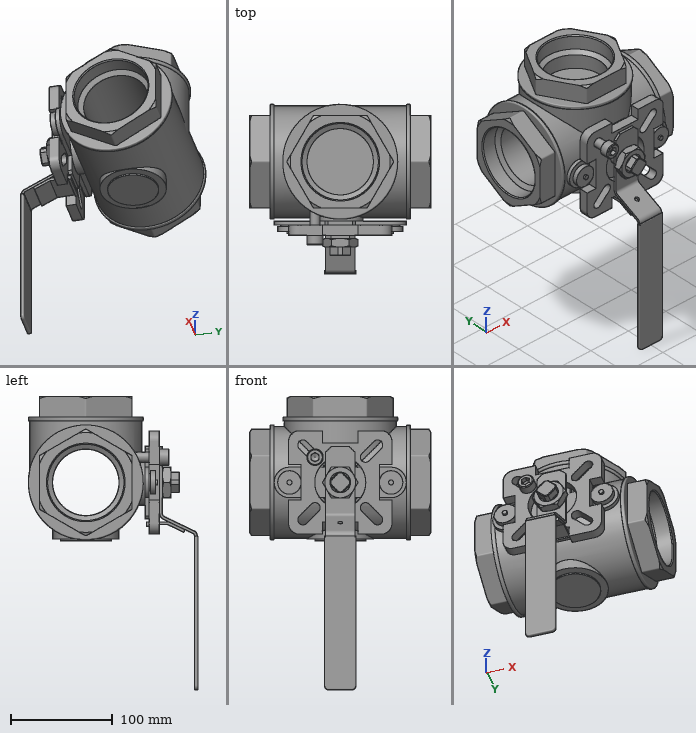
import cadquery as cq
import math


shell_dia = 110.0
flange_dia = 113.0
flange_thickness = 4.0
flange_round = 1.2
run_reach = 89.0
branch_reach = 84.5
hex_length = 20.2
hex_flats = 91.0
hex_edge_round = 2.0
hex_chamfer_dia = 98.0
hex_chamfer_angle = 30
thread_dia = 75.0
thread_lead_in = 1.2
thread_depth = 16.5
seat_depth = 20.0
bore_dia = 65.0
branch_bore_depth = 36.0

base_dia = bore_dia
base_reach = 55.5
badge_dia = 50.0
badge_thickness = 1.7

neck_dia = 45.0
cross_back = 58.2
cross_thickness = 4.0
cross_width = 30.0
cross_half_height = 35.7
cross_chamfer = 3.0
button_spacing = 99.6
button_dia = 23.0
button_height = 6.3
button_neck_dia = 17.3
button_neck_height = 1.2
tip_dia = 5.0
tip_height = 2.0

pad_back = cross_back + cross_thickness
pad_thickness = 10.0
pad_front = pad_back + pad_thickness
pad_size = 101.5
pad_corner_radius = 10.5
pad_hole_dia = badge_dia
notch_width = 34.8
notch_floor = 38.5
slot_width = 10.0
slot_inner = 24.8
slot_outer = 36.5

stem_dia = 20.2
stem_flats = 17.0
stem_chamfer = 1.0
stem_drive_length = 8.4

handle_thickness = 3.0
handle_front = pad_front + handle_thickness
handle_width = 29.5
handle_top = 35.0
handle_top_chamfer = 5.8
bend_drop = 25.7
upper_bend_z = -32.5
grip_back = 106.5
upper_bend_radius = 3.7
lower_bend_radius = 2.5
grip_width = 31.0
grip_thickness = 3.7
grip_top = -52.7
grip_bottom = -203.5
grip_corner_radius = 4.3
grip_edge_round = 1.2
rivet_hole_dia = 5.0
rivet_hole_z = -39.5

lock_width = 28.8
lock_thickness = 3.0
lock_top = -38.5
lock_tip_front = 97.3
lip_back = 59.3
lip_bottom = -43.2
lip_round = 1.2

nut_flats = 30.2
nut_height = 8.5
nut_front = handle_front + nut_height
stem_front = nut_front + stem_drive_length

screw_dia = slot_width
screw_end = 43.2
head_dia = 16.0
head_height = 9.5
head_chamfer = 1.0
socket_flats = 8.0
socket_depth = 5.0
socket_tip_depth = 2.3
socket_tip_dia = 0.3



def corner_dia(flats):
    """Diameter across the corners of a hexagon."""
    return flats / math.cos(math.radians(30))


def front_plane(distance):
    """Sketch plane facing the front: local x is X, local y is Z."""
    return cq.Workplane("XZ", origin=(0, -distance, 0))


def side_profile(points, width):
    """Extrude an outline of (front, z) points symmetrically along X."""
    outline = [(-front, z) for front, z in points]
    return cq.Workplane("YZ").polyline(outline).close().extrude(width / 2, both=True)


def nearest_to(front, z):
    """Selector for the edge nearest to a point on the middle plane."""
    return cq.selectors.NearestToPointSelector((0, -front, z))


def front_rod(dia, start, end):
    return front_plane(start).circle(dia / 2).extrude(end - start)


def chamfer_cone(face_dia, length, outer_dia):
    """Round bar whose far end is coned down to face_dia, for trimming hexagon corners."""
    outer = outer_dia / 2
    drop = (outer - face_dia / 2) * math.tan(math.radians(hex_chamfer_angle))
    profile = [(0, 0), (outer, 0), (outer, length - drop), (face_dia / 2, length), (0, length)]
    return cq.Workplane("XZ").polyline(profile).close().revolve(360, (0, 0, 0), (0, 1, 0))


def port(reach):
    """Outer shape of one port along +Z: shell, flange and hexagon."""
    flange_top = reach - hex_length
    shell = cq.Workplane("XY").circle(shell_dia / 2).extrude(flange_top)
    flange = (
        cq.Workplane("XY", origin=(0, 0, flange_top - flange_thickness))
        .circle(flange_dia / 2)
        .extrude(flange_thickness)
        .edges()
        .fillet(flange_round)
    )
    hexagon = (
        cq.Workplane("XY")
        .polygon(6, corner_dia(hex_flats))
        .extrude(reach)
        .edges("|Z")
        .fillet(hex_edge_round)
        .intersect(chamfer_cone(hex_chamfer_dia, reach, flange_dia))
    )
    return shell.union(flange).union(hexagon)


def port_bore(reach, depth):
    """Threaded mouth, conical seat and bore of one port along +Z, to the given depth."""
    thread = thread_dia / 2
    bore = bore_dia / 2
    profile = [
        (0, reach),
        (thread + thread_lead_in, reach),
        (thread, reach - thread_lead_in),
        (thread, reach - thread_depth),
        (bore, reach - seat_depth),
        (bore, reach - depth),
        (0, reach - depth),
    ]
    return cq.Workplane("XZ").polyline(profile).close().revolve(360, (0, 0, 0), (0, 1, 0))


def along_run(shape, side):
    """Turn a shape built along +Z so it lies along +X (side 1) or -X (side -1)."""
    return shape.rotate((0, 0, 0), (0, 1, 0), 90 * side)


def base_boss():
    boss = cq.Workplane("XY").circle(base_dia / 2).extrude(-base_reach)
    badge = cq.Workplane("XY").circle(badge_dia / 2).extrude(-base_reach - badge_thickness)
    return boss.union(badge)


def cross_plate():
    """Thin cross: a round-ended arm along X with a button at each end, and an upright arm."""
    arm = front_plane(cross_back).slot2D(button_spacing + cross_width, cross_width)
    arm = arm.extrude(cross_thickness)
    upright = (
        front_plane(cross_back)
        .rect(cross_width, 2 * cross_half_height)
        .extrude(cross_thickness)
        .edges("|Y")
        .chamfer(cross_chamfer)
    )
    cross = arm.union(upright)
    button = (
        front_rod(button_neck_dia, pad_back, pad_back + button_height)
        .union(front_rod(button_dia, pad_back + button_neck_height, pad_back + button_height))
        .union(front_rod(tip_dia, pad_back, pad_back + button_height + tip_height))
    )
    for side in (1, -1):
        cross = cross.union(button.translate((side * button_spacing / 2, 0, 0)))
    return cross


def mounting_pad():
    """Square pad with an open notch in each side and a diagonal slot in each corner."""
    pad = (
        front_plane(pad_back)
        .rect(pad_size, pad_size)
        .extrude(pad_thickness)
        .edges("|Y")
        .fillet(pad_corner_radius)
        .cut(front_rod(pad_hole_dia, pad_back, pad_front))
    )
    slot_middle = (slot_inner + slot_outer) / math.sqrt(2)
    slot_length = (slot_outer - slot_inner) * math.sqrt(2) + slot_width
    notch = (
        front_plane(pad_back)
        .center(pad_size / 2 + notch_floor, 0)
        .rect(pad_size, notch_width)
        .extrude(pad_thickness)
    )
    slot = (
        front_plane(pad_back)
        .center(slot_middle, 0)
        .slot2D(slot_length, slot_width)
        .extrude(pad_thickness)
    )
    for quarter in range(4):
        pad = pad.cut(notch.rotate((0, 0, 0), (0, 1, 0), 90 * quarter))
        pad = pad.cut(slot.rotate((0, 0, 0), (0, 1, 0), 90 * quarter + 45))
    return pad


def stem():
    """Round stem with a square drive at its front end, one corner of the square up."""
    rod = front_rod(stem_dia, 0, stem_front).faces("<Y").chamfer(stem_chamfer)
    drive = (
        front_plane(nut_front)
        .transformed(rotate=(0, 0, 45))
        .rect(stem_flats, stem_flats)
        .extrude(stem_front - nut_front)
        .faces("<Y")
        .chamfer(stem_chamfer)
    )
    return rod.intersect(front_rod(stem_dia, 0, nut_front).union(drive))


def make_valve_body():
    body = port(branch_reach)
    for side in (1, -1):
        body = body.union(along_run(port(run_reach), side))
    body = body.union(base_boss())
    body = body.union(front_rod(neck_dia, 0, cross_back))
    body = body.union(cross_plate()).union(mounting_pad())
    body = body.union(stem())
    body = body.cut(port_bore(branch_reach, branch_bore_depth))
    for side in (1, -1):
        body = body.cut(along_run(port_bore(run_reach, run_reach), side))
    return body.cut(front_rod(screw_dia, screw_end, pad_front).translate((-slot_inner, 0, slot_inner)))


def make_handle():
    """Cranked flat strip with a thicker rounded grip."""
    slope = math.tan(math.radians(bend_drop))
    strip_front = grip_back + handle_thickness
    lower_bend_z = upper_bend_z - (strip_front - handle_front) * slope
    bend_shift = handle_thickness * math.tan(math.radians((90 - bend_drop) / 2))
    strip = side_profile(
        [
            (handle_front, handle_top),
            (handle_front, upper_bend_z),
            (strip_front, lower_bend_z),
            (strip_front, grip_top),
            (grip_back, grip_top),
            (grip_back, lower_bend_z - bend_shift),
            (pad_front, upper_bend_z - bend_shift),
            (pad_front, handle_top),
        ],
        handle_width,
    )
    bends = [
        (handle_front, upper_bend_z, upper_bend_radius),
        (pad_front, upper_bend_z - bend_shift, upper_bend_radius + handle_thickness),
        (strip_front, lower_bend_z, lower_bend_radius + handle_thickness),
        (grip_back, lower_bend_z - bend_shift, lower_bend_radius),
    ]
    for front, z, radius in bends:
        strip = strip.edges(nearest_to(front, z)).fillet(radius)
    strip = strip.faces(">Z").edges("|Y").chamfer(handle_top_chamfer)

    grip = (
        front_plane(grip_back)
        .center(0, (grip_top + grip_bottom) / 2)
        .rect(grip_width, grip_top - grip_bottom)
        .extrude(grip_thickness)
        .edges("|Y and <Z")
        .fillet(grip_corner_radius)
        .faces("<Y or >Y")
        .edges()
        .fillet(grip_edge_round)
    )
    rivet_front = handle_front + (upper_bend_z - rivet_hole_z) / slope
    rivet_hole = (
        cq.Workplane("XY")
        .circle(rivet_hole_dia / 2)
        .extrude(2 * handle_thickness, both=True)
        .rotate((0, 0, 0), (1, 0, 0), bend_drop)
        .translate((0, -rivet_front, rivet_hole_z))
    )
    return strip.union(grip).cut(rivet_hole).cut(front_rod(stem_dia, pad_front, handle_front))


def make_lock_strip():
    """Bent strip lying under the sloped part of the handle, hooked behind the pad."""
    slope_angle = math.radians(bend_drop)
    slope = math.tan(slope_angle)
    underside_z = upper_bend_z - handle_thickness / math.cos(slope_angle)
    bend_front = handle_front + (underside_z - lock_top) / slope
    tip_z = underside_z - (lock_tip_front - handle_front) * slope
    bend_shift = lock_thickness * math.tan(slope_angle / 2)
    strip = side_profile(
        [
            (lip_back, lock_top),
            (bend_front, lock_top),
            (lock_tip_front, tip_z),
            (
                lock_tip_front - lock_thickness * math.sin(slope_angle),
                tip_z - lock_thickness * math.cos(slope_angle),
            ),
            (bend_front - bend_shift, lock_top - lock_thickness),
            (pad_back, lock_top - lock_thickness),
            (pad_back, lip_bottom),
            (lip_back, lip_bottom),
        ],
        lock_width,
    )
    return strip.edges(nearest_to(lip_back, lock_top)).fillet(lip_round)


def make_nut():
    blank = cq.Workplane("XY").polygon(6, corner_dia(nut_flats)).extrude(nut_height)
    cone = chamfer_cone(nut_flats, nut_height, corner_dia(nut_flats))
    flipped_cone = cone.rotate((0, 0, 0), (1, 0, 0), 180).translate((0, 0, nut_height))
    nut = blank.intersect(cone).intersect(flipped_cone)
    nut = nut.rotate((0, 0, 0), (1, 0, 0), 90).translate((0, -handle_front, 0))
    return nut.cut(front_rod(stem_dia, handle_front, nut_front))


def make_stop_screw():
    """Socket-head screw through the inner end of the upper left slot into the body."""
    head_front = pad_front + head_height
    head = front_rod(head_dia, pad_front, head_front).faces("<Y").chamfer(head_chamfer)
    socket = (
        front_plane(head_front - socket_depth)
        .transformed(rotate=(0, 0, 30))
        .polygon(6, corner_dia(socket_flats))
        .extrude(socket_depth)
    )
    socket_tip = (
        front_plane(head_front - socket_depth)
        .circle(socket_flats / 2)
        .workplane(offset=-socket_tip_depth)
        .circle(socket_tip_dia / 2)
        .loft()
    )
    screw = front_rod(screw_dia, screw_end, pad_front).union(head).cut(socket).cut(socket_tip)
    return screw.translate((-slot_inner, 0, slot_inner))


valve_body = make_valve_body()
handle = make_handle()
lock_strip = make_lock_strip()
nut = make_nut()
stop_screw = make_stop_screw()

result = cq.Compound.makeCompound(
    [valve_body.val(), handle.val(), lock_strip.val(), nut.val(), stop_screw.val()]
)